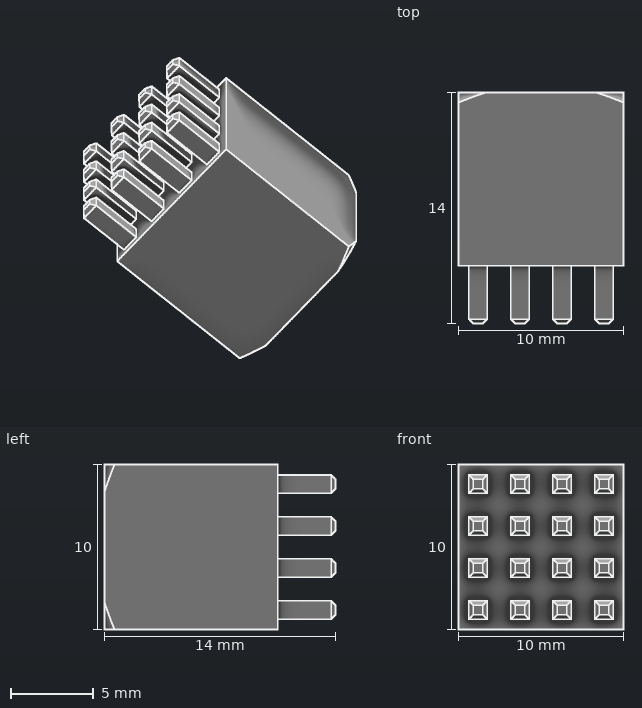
import cadquery as cq
import math

BODY_WIDTH = 10.0
BODY_DEPTH = 10.5
TOTAL_DEPTH = 14.0

REAR_CIRCLE_RADIUS = 6.0
CORNER_CONE_ANGLE = 30.0

PINS_PER_SIDE = 4
PIN_PITCH = 2.54
PIN_WIDTH = 1.13
PIN_LENGTH = TOTAL_DEPTH - BODY_DEPTH
TIP_WIDTH = 0.57
TIP_LENGTH = 0.28

ENVELOPE_RADIUS = BODY_WIDTH


def make_body():
    """Block spanning Y = 0 (pin face) to Y = BODY_DEPTH (rear face)."""
    return cq.Workplane("XZ").rect(BODY_WIDTH, BODY_WIDTH).extrude(-BODY_DEPTH)


def make_corner_envelope():
    """Cylinder along Y that clears the block, with a conical chamfer around its +Y end."""
    chamfer_depth = (ENVELOPE_RADIUS - REAR_CIRCLE_RADIUS) * math.tan(math.radians(CORNER_CONE_ANGLE))
    return (
        cq.Workplane("XY")
        .lineTo(ENVELOPE_RADIUS, 0)
        .lineTo(ENVELOPE_RADIUS, BODY_DEPTH - chamfer_depth)
        .lineTo(REAR_CIRCLE_RADIUS, BODY_DEPTH)
        .lineTo(0, BODY_DEPTH)
        .close()
        .revolve(360, (0, 0, 0), (0, 1, 0))
    )


def make_pin():
    """Square pin pointing to -Y from the pin face, with a tapered tip."""
    shank_length = PIN_LENGTH - TIP_LENGTH
    shank = cq.Workplane("XZ").rect(PIN_WIDTH, PIN_WIDTH).extrude(shank_length)
    tip = (
        cq.Workplane("XZ", origin=(0, -shank_length, 0))
        .rect(PIN_WIDTH, PIN_WIDTH)
        .workplane(offset=TIP_LENGTH)
        .rect(TIP_WIDTH, TIP_WIDTH)
        .loft(ruled=True)
    )
    return shank.union(tip)


body = make_body().intersect(make_corner_envelope())

pin = make_pin()
first_pin = -PIN_PITCH * (PINS_PER_SIDE - 1) / 2
for column in range(PINS_PER_SIDE):
    for row in range(PINS_PER_SIDE):
        position = (first_pin + column * PIN_PITCH, 0, first_pin + row * PIN_PITCH)
        body = body.union(pin.translate(position))

result = body